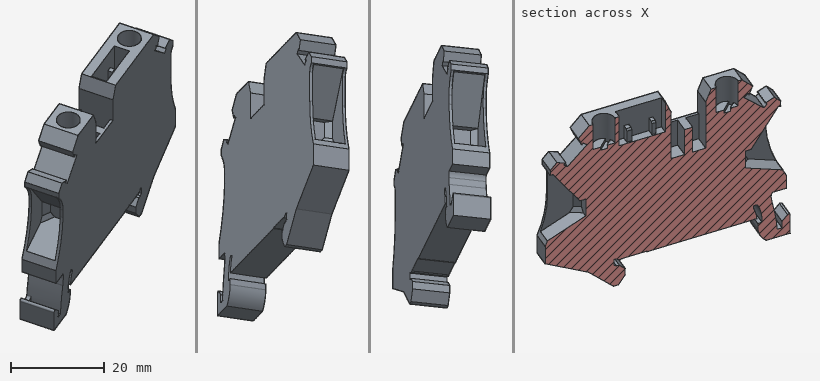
import cadquery as cq

thickness = 8.15
length = 57.8
height = 46.9
mid_y = 29.4
past = 2.9

top_corner = 18.0
cheek = (20.6, 44.15)
barb_tip = (19.7, 42.0)
barb_root = (19.35, 42.4)
marker_top = (18.55, 41.7)
marker_bottom = (23.1, 37.3)
hook_root = (23.9, 38.0)
hook_tip = (23.45, 38.45)
lug_peak = (25.6, 39.3)
lug_side = 27.15
lug_top_z = 37.6

near_waist_y = 4.3
far_waist_y = 55.6

notch_low_y = 20.0
notch_high_y = 28.05
notch_floor_z = 37.8
notch_flare = 1.3
notch_flare_z = 43.7

rail_z = 6.8
rail_step = 0.2
near_end_y = 0.9
arm_top_z = 12.85

groove_front = (2.0, 4.1)
groove_back = (3.3, 4.5)
groove_web = 1.05
tool_slot_floor_z = 2.3
tool_slot_back_y = 3.05

screw_offset = 14.5
screw_diameter = 5.1
screw_depth = 6.95
slot_width = 1.05
slot_depth = 0.85
slot_angle = -45.0

inner_width = 6.8
funnel_mouth_y = 1.7
funnel_mouth_z = 18.3
funnel_roof_y = 2.9
funnel_roof_z = 36.2
throat_y = 10.6
throat_floor_z = 22.0
funnel_floor_slope = (throat_floor_z - funnel_mouth_z) / (throat_y - funnel_mouth_y)
throat_roof_z = 26.6
throat_width = 4.1
throat_bevel_x = 0.9
throat_bevel_z = 1.05
cheek_start_y = 9.25
floor_side_y = 8.4
facet_block = 11.55

well_length = 3.05
well_depth = 6.95

socket_width = 3.6
socket_low_y = 29.55
socket_high_y = 40.35
socket_depth = 8.1
finger_top_depth = 4.6
finger_gap = 0.6
finger_bevel = 0.4
fingers = ((31.55, 0.9), (37.2, 1.15))


def near(point):
    """Place a half-profile point on the foot side of the mirror plane."""
    return (mid_y - point[0], point[1])


def far(point):
    """Place a half-profile point on the opposite side of the mirror plane."""
    return (mid_y + point[0], point[1])


def extrude_yz(outline, width):
    """Extrude a closed YZ outline symmetrically about X = 0."""
    return outline.close().extrude(width / 2, both=True)


def box(x_size, y_low, y_high, z_low, z_high):
    """Box centred on X = 0 between the given Y and Z limits."""
    return (
        cq.Workplane("XY", origin=(0, (y_low + y_high) / 2, z_low))
        .rect(x_size, y_high - y_low)
        .extrude(z_high - z_low)
    )


def make_body():
    shoulder = [
        (top_corner, height), cheek, barb_tip, barb_root, marker_top,
        marker_bottom, hook_root, hook_tip, lug_peak, (lug_side, lug_top_z),
    ]
    outline = (
        cq.Workplane("YZ")
        .moveTo(0, 0)
        .lineTo(0, 5.15)
        .threePointArc((0.25, 5.5), (0.7, 5.5))
        .lineTo(*groove_front)
        .lineTo(groove_front[0], tool_slot_floor_z)
        .lineTo(tool_slot_back_y, tool_slot_floor_z)
        .threePointArc((3.5, 6.35), (4.15, 9.6))
        .lineTo(4.45, 11.4)
        .threePointArc((4.45, 12.15), (4.2, arm_top_z))
        .lineTo(near_end_y, arm_top_z)
        .lineTo(near_end_y, 16.5)
        .threePointArc((3.25, 22.55), (near_waist_y, 29.0))
        .lineTo(near_waist_y, 31.2)
        .threePointArc((4.0, 33.3), (3.1, 35.1))
        .lineTo(mid_y - lug_side, 36.25)
        .lineTo(mid_y - lug_side, lug_top_z)
    )
    for point in reversed(shoulder[:-1]):
        outline = outline.lineTo(*near(point))
    outline = (
        outline
        .lineTo(notch_low_y - notch_flare, height)
        .lineTo(notch_low_y, notch_flare_z)
        .lineTo(notch_low_y, notch_floor_z)
        .lineTo(notch_high_y, notch_floor_z)
        .lineTo(notch_high_y, notch_flare_z)
        .lineTo(notch_high_y + notch_flare, height)
    )
    for point in shoulder:
        outline = outline.lineTo(*far(point))
    outline = (
        outline
        .lineTo(mid_y + lug_side, 36.2)
        .threePointArc((55.85, 35.4), (far_waist_y, 34.45))
        .lineTo(far_waist_y, 27.75)
        .threePointArc((56.2, 22.2), (length, 16.95))
        .lineTo(length, 12.0)
        .lineTo(47.5, 5.95)
        .lineTo(41.7, 0)
        .lineTo(40.45, 0)
        .lineTo(38.9, 2.25)
        .lineTo(38.9, 4.05)
        .lineTo(40.35, 5.55)
        .lineTo(41.05, 5.6)
        .lineTo(41.5, 5.9)
        .lineTo(41.5, 7.4)
        .lineTo(41.1, 7.4)
        .lineTo(40.15, rail_z)
        .lineTo(39.7, rail_z + rail_step)
        .lineTo(33.75, rail_z + rail_step)
        .lineTo(33.75, rail_z)
        .lineTo(7.85, rail_z)
        .threePointArc((8.1, 8.45), (8.6, 9.95))
        .threePointArc((8.4, 10.7), (7.7, 10.4))
        .threePointArc((6.95, 8.1), (6.75, 5.55))
        .lineTo(7.75, 5.55)
        .lineTo(7.75, 4.15)
        .threePointArc((7.15, 1.95), (5.7, 0))
    )
    return extrude_yz(outline, thickness)


def make_groove_web():
    """Web at the -X face that closes the tool slot and carries the rounded groove bottom."""
    return (
        cq.Workplane("YZ", origin=(-thickness / 2, 0, 0))
        .moveTo(*groove_front)
        .lineTo(groove_front[0], tool_slot_floor_z)
        .lineTo(groove_back[0], tool_slot_floor_z)
        .lineTo(*groove_back)
        .threePointArc((2.7, 3.9), groove_front)
        .close()
        .extrude(groove_web)
    )


def make_corner_facet(side):
    """Wedge filling the lower corner between funnel floor and cheek."""
    bevel_top = cq.Vector(side * throat_width / 2, throat_y, throat_floor_z + throat_bevel_z)
    bevel_foot = cq.Vector(side * (throat_width / 2 - throat_bevel_x), throat_y, throat_floor_z)
    floor_side_z = funnel_mouth_z + (floor_side_y - funnel_mouth_y) * funnel_floor_slope
    floor_side = cq.Vector(side * inner_width / 2, floor_side_y, floor_side_z)
    normal = (bevel_top - bevel_foot).cross(floor_side - bevel_foot)
    if normal.y < 0:
        normal = normal * -1
    plane = cq.Plane(origin=bevel_foot.toTuple(), normal=normal.toTuple())
    return cq.Workplane(plane).rect(facet_block, facet_block).extrude(facet_block / 2)


def make_funnel():
    """Wire entry: sloped roof and floor narrowing to a throat with bevelled lower corners."""
    cavity = extrude_yz(
        cq.Workplane("YZ")
        .moveTo(funnel_mouth_y - past, funnel_mouth_z - past * funnel_floor_slope)
        .lineTo(throat_y, throat_floor_z)
        .lineTo(throat_y, throat_roof_z)
        .lineTo(cheek_start_y, throat_roof_z)
        .lineTo(funnel_roof_y, funnel_roof_z)
        .lineTo(funnel_mouth_y - past, funnel_roof_z),
        inner_width,
    )
    side_x = inner_width / 2
    for side in (-1, 1):
        cheek_wedge = (
            cq.Workplane("XY", origin=(0, 0, funnel_mouth_z))
            .moveTo(side * side_x, cheek_start_y)
            .lineTo(side * throat_width / 2, throat_y)
            .lineTo(side * side_x, throat_y)
            .close()
            .extrude(throat_roof_z - funnel_mouth_z)
        )
        cavity = cavity.cut(cheek_wedge).cut(make_corner_facet(side))
    return cavity


def make_screw_hole(y):
    """Round screw shaft whose floor is the screw head, with a diagonal driver slot."""
    floor_z = height - screw_depth
    shaft = (
        cq.Workplane("XY", origin=(0, y, floor_z))
        .circle(screw_diameter / 2)
        .extrude(screw_depth + past)
    )
    head = (
        cq.Workplane("XY", origin=(0, y, floor_z - slot_depth))
        .circle(screw_diameter / 2)
        .extrude(slot_depth)
    )
    slot = (
        cq.Workplane("XY", origin=(0, y, floor_z - slot_depth))
        .transformed(rotate=(0, 0, slot_angle))
        .rect(2 * screw_diameter, slot_width)
        .extrude(slot_depth)
    )
    return shaft.union(head.intersect(slot))


def make_finger(side, y_start, width):
    """Contact finger reaching in from one side wall, its top bevelled towards the gap."""
    floor_z = height - socket_depth
    top_z = height - finger_top_depth
    wall_x = side * socket_width / 2
    tip_x = side * finger_gap / 2
    bevel_x = side * (finger_gap / 2 + finger_bevel)
    return (
        cq.Workplane("XZ", origin=(0, y_start, 0))
        .moveTo(wall_x, floor_z)
        .lineTo(wall_x, top_z)
        .lineTo(bevel_x, top_z)
        .lineTo(tip_x, top_z - finger_bevel)
        .lineTo(tip_x, floor_z)
        .close()
        .extrude(-width)
    )


def make_socket():
    socket = box(socket_width, socket_low_y, socket_high_y, height - socket_depth, height + past)
    for y_start, width in fingers:
        for side in (-1, 1):
            socket = socket.cut(make_finger(side, y_start, width))
    return socket


result = make_body().union(make_groove_web())

funnel = make_funnel()
far_funnel = funnel.mirror("XZ").translate((0, 2 * mid_y, 0))
result = result.cut(funnel).cut(far_funnel)

for offset in (-screw_offset, screw_offset):
    result = result.cut(make_screw_hole(mid_y + offset))

for well_y in (notch_low_y, notch_high_y - well_length):
    well_floor_z = notch_floor_z - well_depth
    result = result.cut(box(inner_width, well_y, well_y + well_length, well_floor_z, notch_floor_z))

result = result.cut(make_socket())